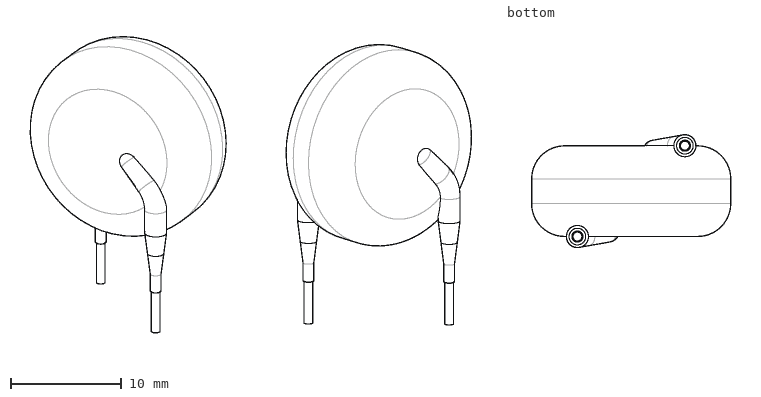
import cadquery as cq
import math

disc_diameter = 18.0
disc_thickness = 8.2
disc_rim_radius = 3.0

lead_count = 2
lead_x = 4.85
lead_y = -disc_thickness / 2
disc_bottom_z = -disc_diameter / 2

arm_radius = 1.0
arm_turn = 10.0
arm_slope_length = 2.75
bend_radius = 3.0
bend_angle = 45.0
bend_start_z = -4.75

taper_half_length = 2.0
taper_top_z = disc_bottom_z + taper_half_length
taper_bottom_z = disc_bottom_z - taper_half_length
neck_radius = 0.5
taper_middle_radius = (arm_radius + neck_radius) / 2

neck_length = 1.7
neck_end_z = taper_bottom_z - neck_length
neck_rim_chamfer = 0.05
wire_radius = 0.4
wire_end_z = -16.6


def make_disc():
    """Round disc along Y, with both rims rounded."""
    return (
        cq.Workplane("XZ", origin=(0, disc_thickness / 2, 0))
        .circle(disc_diameter / 2)
        .extrude(disc_thickness)
        .edges("%CIRCLE")
        .fillet(disc_rim_radius)
    )


def bend_point(angle):
    """Point (x, z) on the centre line of the bend, at an angle in degrees from its lower end."""
    turned = math.radians(angle)
    x = -bend_radius * (1 - math.cos(turned))
    z = bend_start_z + bend_radius * math.sin(turned)
    return x, z


def make_arm():
    """Upright rod that bends over and ends in a ball of the same radius."""
    bend_end_x, bend_end_z = bend_point(bend_angle)
    slope = math.radians(bend_angle)
    tip_x = bend_end_x - arm_slope_length * math.sin(slope)
    tip_z = bend_end_z + arm_slope_length * math.cos(slope)
    path = (
        cq.Workplane("XZ")
        .moveTo(0, taper_top_z)
        .lineTo(0, bend_start_z)
        .threePointArc(bend_point(bend_angle / 2), (bend_end_x, bend_end_z))
        .lineTo(tip_x, tip_z)
    )
    rod = cq.Workplane("XY", origin=(0, 0, taper_top_z)).circle(arm_radius).sweep(path)
    ball = cq.Workplane("XY", origin=(tip_x, 0, tip_z)).sphere(arm_radius)
    return rod.union(ball).rotate((0, 0, 0), (0, 0, 1), -arm_turn)


def revolve_profile(points):
    """Turn a closed (radius, z) outline about the vertical axis of the lead."""
    return cq.Workplane("XZ").polyline(points).close().revolve(360, (0, 0), (0, 1))


def make_upper_taper():
    return revolve_profile([
        (0, taper_top_z),
        (arm_radius, taper_top_z),
        (taper_middle_radius, disc_bottom_z),
        (0, disc_bottom_z),
    ])


def make_necked_taper():
    """Lower half of the taper, running into the neck with its small end chamfer."""
    return revolve_profile([
        (0, disc_bottom_z),
        (taper_middle_radius, disc_bottom_z),
        (neck_radius, taper_bottom_z),
        (neck_radius, neck_end_z + neck_rim_chamfer),
        (neck_radius - neck_rim_chamfer, neck_end_z),
        (0, neck_end_z),
    ])


def make_wire():
    wire_length = neck_end_z - wire_end_z
    return cq.Workplane("XY", origin=(0, 0, wire_end_z)).circle(wire_radius).extrude(wire_length)


def place_on_disc(body, index):
    """Move a lead body from the Z axis to its place on the front (0) or back (1) face."""
    return body.translate((lead_x, lead_y, 0)).rotate((0, 0, 0), (0, 0, 1), index * 360 / lead_count)


disc = make_disc()
lead_solids = []
for index in range(lead_count):
    for make_body in (make_arm, make_upper_taper, make_necked_taper, make_wire):
        body = place_on_disc(make_body(), index)
        disc = disc.cut(body)
        lead_solids.append(body.val())

result = cq.Compound.makeCompound([disc.val(), *lead_solids])